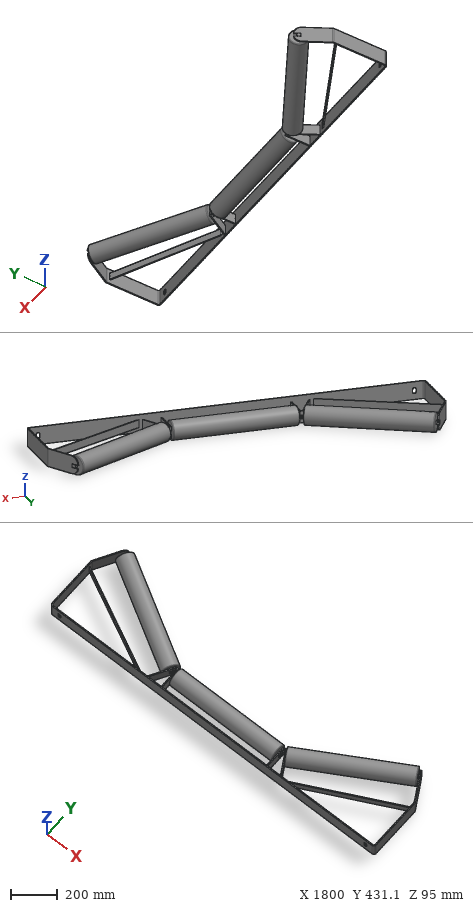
import cadquery as cq
import math

frame_length = 1800.0
frame_width = 81.0
strip_thickness = 6.0
bend_radius = 13.0
wall_height = 274.0
arm_length = 171.0
arm_tip_radius = 36.0
trough_angle = 30.0

mounting_slot_x = 850.0
mounting_slot_width = 16.0
mounting_slot_height = 27.0

roller_diameter = 88.0
roller_length = 570.0
roller_edge_radius = 4.0
shaft_diameter = 20.0
shaft_flat_width = 16.0
center_shaft_overhang = 15.0
wing_shaft_inner_overhang = 9.0
wing_shaft_outer_overhang = 15.0

total_height = 95.0
center_roller_y = 99.0
wing_roller_x = 567.0
wing_roller_y = 252.0
wing_drop = 7.0

bracket_x = 290.0
bracket_top_y = 128.0
bracket_width = 54.0
bracket_foot_x = 378.0
brace_wall_y = 257.0
brace_foot_x = 389.0
brace_width = 36.0

half_length = frame_length / 2
frame_middle_z = -frame_width / 2
trough_cos = math.cos(math.radians(trough_angle))
trough_sin = math.sin(math.radians(trough_angle))
center_roller_z = roller_diameter / 2 - total_height
wing_roller_z = center_roller_z + wing_drop / 2
wing_tilt = math.asin(wing_drop / roller_length)
up = cq.Vector(0, 0, 1)
center_axis = cq.Vector(1, 0, 0)
center_middle = cq.Vector(0, center_roller_y, center_roller_z)
wing_axis = cq.Vector(
    trough_cos * math.cos(wing_tilt), trough_sin * math.cos(wing_tilt), math.sin(wing_tilt)
)
wing_middle = cq.Vector(wing_roller_x, wing_roller_y, wing_roller_z)


def with_mirror(body):
    """The body and its copy on the other side of the YZ plane."""
    return [body, body.mirror("YZ")]


def strip(plan_points, middle_z, width):
    """A closed plan outline extruded over the width of the strip."""
    bottom = cq.Workplane("XY", origin=(0, 0, middle_z - width / 2))
    return bottom.polyline(plan_points).close().extrude(width)


def shaft_plane(middle, axis, start_overhang):
    """Plane at the shaft's start; its X points away from the base, its normal along the axis."""
    start = middle - axis * (roller_length / 2 + start_overhang)
    return cq.Plane(start, up.cross(axis), axis)


def roller(middle, axis, start_overhang, end_overhang):
    """Drum with a shaft that is flattened on two sides."""
    drum = (
        cq.Workplane(shaft_plane(middle, axis, 0))
        .circle(roller_diameter / 2)
        .extrude(roller_length)
        .edges("%CIRCLE")
        .fillet(roller_edge_radius)
    )
    plane = shaft_plane(middle, axis, start_overhang)
    shaft_length = start_overhang + roller_length + end_overhang
    flats = cq.Workplane(plane).rect(shaft_diameter, shaft_flat_width).extrude(shaft_length)
    shaft = cq.Workplane(plane).circle(shaft_diameter / 2).extrude(shaft_length).intersect(flats)
    return drum.union(shaft)


def shaft_slots(middle, axis, start_overhang, end_overhang):
    """Cutter that seats both shaft ends in slots open away from the base."""
    plane = shaft_plane(middle, axis, start_overhang)
    shaft_length = start_overhang + roller_length + end_overhang
    slot_depth = shaft_diameter / 2 + roller_diameter
    return (
        cq.Workplane(plane)
        .center((slot_depth - shaft_diameter) / 2, 0)
        .rect(slot_depth, shaft_flat_width)
        .extrude(shaft_length)
    )


center_place = (center_middle, center_axis)
center_overhangs = (center_shaft_overhang, center_shaft_overhang)
wing_place = (wing_middle, wing_axis)
wing_overhangs = (wing_shaft_inner_overhang, wing_shaft_outer_overhang)

center_roller = roller(*center_place, *center_overhangs)
wing_rollers = with_mirror(roller(*wing_place, *wing_overhangs))
wing_slots = with_mirror(shaft_slots(*wing_place, *wing_overhangs))


def brace():
    """Flat bar from the inner face of the side wall down to the inner face of the base."""
    angle = math.degrees(math.atan2(brace_wall_y, half_length - brace_foot_x))
    bar = (
        cq.Workplane("XY", origin=(brace_foot_x, 0, frame_middle_z))
        .transformed(rotate=(0, 0, angle))
        .box(frame_length, strip_thickness, brace_width)
    )
    inside_frame = (
        cq.Workplane("XY", origin=(0, strip_thickness, 0))
        .rect(half_length - strip_thickness, wall_height, centered=False)
        .extrude(-frame_width)
    )
    return bar.intersect(inside_frame)


braces = with_mirror(brace())


def rounded_upright(body, point, radius):
    """The strip with the vertical edge at a plan point, and its mirror, rounded."""
    x, y = point
    for side in (1, -1):
        edge = cq.selectors.NearestToPointSelector((side * x, y, frame_middle_z))
        body = body.edges(edge).fillet(radius)
    return body


def frame_strip():
    """Flat strip bent into base, side walls and inclined arms."""
    tip_x = half_length - arm_length * trough_sin
    tip_y = wall_height + arm_length * trough_cos
    outer_bend = (half_length, wall_height)
    outer_corner = (half_length, 0)
    inner_corner = (half_length - strip_thickness, strip_thickness)
    inner_bend = (
        half_length - strip_thickness,
        wall_height - strip_thickness * math.tan(math.radians(trough_angle / 2)),
    )
    inner_tip = (tip_x - strip_thickness * trough_cos, tip_y - strip_thickness * trough_sin)
    right_side = [inner_corner, inner_bend, inner_tip, (tip_x, tip_y), outer_bend, outer_corner]
    left_side = [(-x, y) for x, y in reversed(right_side)]
    body = strip(right_side + left_side, frame_middle_z, frame_width)
    for outer_point in (outer_corner, outer_bend):
        body = rounded_upright(body, outer_point, bend_radius)
    for inner_point in (inner_corner, inner_bend):
        body = rounded_upright(body, inner_point, bend_radius - strip_thickness)

    tip_middle = ((tip_x + inner_tip[0]) / 2, (tip_y + inner_tip[1]) / 2)
    for x in (tip_middle[0], -tip_middle[0]):
        for z in (0, -frame_width):
            tip_corner = cq.selectors.NearestToPointSelector((x, tip_middle[1], z))
            body = body.edges(tip_corner).fillet(arm_tip_radius)
    return body


def frame():
    """Bent strip with slots for the wing shafts and for mounting."""
    mounting_slots = (
        cq.Workplane("XZ", origin=(0, 0, frame_middle_z))
        .pushPoints([(mounting_slot_x, 0), (-mounting_slot_x, 0)])
        .slot2D(mounting_slot_height, mounting_slot_width, 90)
        .extrude(-strip_thickness)
    )
    body = frame_strip().cut(mounting_slots)
    for slots in wing_slots:
        body = body.cut(slots)
    return body


def bracket():
    """Folded strip whose two legs carry a center roller end and a wing roller end."""
    slope = math.tan(math.radians(trough_angle))
    leg_width = strip_thickness / trough_cos
    web_bottom_y = bracket_top_y - strip_thickness

    def wing_face_x(y):
        return bracket_foot_x - (y - strip_thickness) * slope

    outline = [
        (bracket_x, strip_thickness),
        (bracket_x, bracket_top_y),
        (wing_face_x(bracket_top_y), bracket_top_y),
        (bracket_foot_x, strip_thickness),
        (bracket_foot_x - leg_width, strip_thickness),
        (wing_face_x(web_bottom_y) - leg_width, web_bottom_y),
        (bracket_x + strip_thickness, web_bottom_y),
        (bracket_x + strip_thickness, strip_thickness),
    ]
    center_slots = shaft_slots(*center_place, *center_overhangs)
    return strip(outline, center_roller_z, bracket_width).cut(center_slots).cut(wing_slots[0])


brackets = with_mirror(bracket())

result = cq.Compound.makeCompound(
    [
        frame().val(),
        center_roller.val(),
        *[body.val() for body in wing_rollers + braces + brackets],
    ]
)